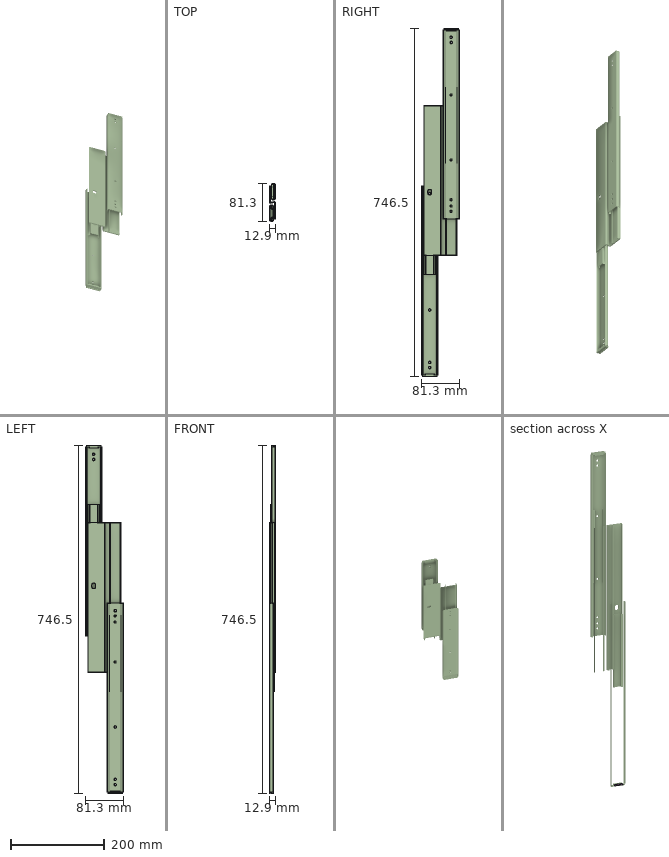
import cadquery as cq
import math


THICKNESS = 12.9
WIDTH = 81.3
LENGTH = 746.46

RAIL_WIDTH = 35.3
RAIL_DEPTH = 8.65
RAIL_SHEET = 1.2
RAIL_RACE_RADIUS = 4.6
RAIL_LENGTH = 405.0
RAIL_HOLE_DIAMETER = 4.5
RAIL_HOLES_NEAR_INNER_END = (16.0, 27.2, 40.7, 126.2, 265.5)
RAIL_HOLES_NEAR_OUTER_END = (16.0, 27.2)

BUMPER_PROTRUSION = 3.2
BUMPER_WIDTH = 31.4
BUMPER_PLUG_LENGTH = 2.5
BUMPER_PLUG_WIDTH = 20.0
BUMPER_SLOT_START = 1.8
BUMPER_SLOT_WIDTH = 2.6
BUMPER_SLOT_DEPTH = 1.7

MIDDLE_SHEET = 2.2
MIDDLE_TOP = 207.5
MIDDLE_LENGTH = 321.0
MIDDLE_CHANNEL_WIDTH = 25.0
MIDDLE_TIP_WIDTH = 22.4
MIDDLE_FLANGE_SHEET = 1.2
MIDDLE_FLANGE_DEPTH = 6.4
MIDDLE_BEND = 1.8
ACCESS_SLOT_LENGTH = 12.0
ACCESS_SLOT_WIDTH = 8.5
ACCESS_SLOT_OFFSET = 25.0

CAGE_SHEET = 0.8
CAGE_RECESS = 2.25
CAGE_WEB_WIDTH = 17.0
CAGE_ARM_DEPTH = 4.8
CAGE_ARM_SPREAD = 0.4
CAGE_WING_DEPTH = 3.4
CAGE_WIDTH = 26.0
CAGE_LENGTH = 162.0
UPPER_CAGE_TOP = 246.0
LOWER_CAGE_BOTTOM = -154.0

HALF_THICKNESS = THICKNESS / 2
RAIL_CENTER_Y = (WIDTH - RAIL_WIDTH) / 2
UPPER_RAIL_TOP = LENGTH / 2 - BUMPER_PROTRUSION
UPPER_RAIL_BOTTOM = UPPER_RAIL_TOP - RAIL_LENGTH
MIDDLE_BOTTOM = MIDDLE_TOP - MIDDLE_LENGTH
MIDDLE_CENTER_Z = (MIDDLE_TOP + MIDDLE_BOTTOM) / 2


def offset_path(points, distance):
    """The open path moved sideways to its left, with mitred corners."""
    directions = []
    for (x0, y0), (x1, y1) in zip(points, points[1:]):
        span = math.hypot(x1 - x0, y1 - y0)
        directions.append(((x1 - x0) / span, (y1 - y0) / span))
    moved = []
    for i, (x, y) in enumerate(points):
        ax, ay = directions[max(i - 1, 0)]
        bx, by = directions[min(i, len(directions) - 1)]
        reach = distance / (1 + ax * bx + ay * by)
        moved.append((x - (ay + by) * reach, y + (ax + bx) * reach))
    return moved


def bent_sheet(points, thickness, bottom, length):
    """A sheet along a path in XY, to its left for a positive thickness, extruded upward."""
    outline = points + offset_path(points, thickness)[::-1]
    return cq.Workplane("XY", origin=(0, 0, bottom)).polyline(outline).close().extrude(length)


def mirrored_path(half):
    """A path across the rail centre line, from its half on the -Y side."""
    other_half = [(x, 2 * RAIL_CENTER_Y - y) for x, y in reversed(half)]
    return half + other_half


def to_lower_side(body):
    """Turns an upper body end for end and face for face, and moves it to the lower track."""
    return body.rotate((0, 0, 0), (0, 1, 0), 180).translate((0, -2 * RAIL_CENTER_Y, 0))


def box(x0, x1, width, z0, z1):
    """A block centred on the upper rail's width."""
    plan = cq.Workplane("XY", origin=((x0 + x1) / 2, RAIL_CENTER_Y, z0))
    return plan.rect(x1 - x0, width).extrude(z1 - z0)


def make_rail_race(side):
    """The ball race on the side given by +1 or -1: an arc from the web's edge round to its lip."""
    center_x = HALF_THICKNESS - RAIL_RACE_RADIUS
    center_y = RAIL_CENTER_Y + side * (RAIL_WIDTH / 2 - RAIL_RACE_RADIUS)
    lip_angle = math.acos((HALF_THICKNESS - RAIL_DEPTH - center_x) / RAIL_RACE_RADIUS)
    inner_radius = RAIL_RACE_RADIUS - RAIL_SHEET

    def race_point(radius, angle):
        return (center_x + radius * math.cos(angle), center_y + side * radius * math.sin(angle))

    return (
        cq.Workplane("XY", origin=(0, 0, UPPER_RAIL_BOTTOM))
        .moveTo(*race_point(RAIL_RACE_RADIUS, 0))
        .threePointArc(race_point(RAIL_RACE_RADIUS, lip_angle / 2), race_point(RAIL_RACE_RADIUS, lip_angle))
        .lineTo(*race_point(inner_radius, lip_angle))
        .threePointArc(race_point(inner_radius, lip_angle / 2), race_point(inner_radius, 0))
        .close()
        .extrude(RAIL_LENGTH)
    )


def make_upper_rail():
    """A channel open toward -X: a flat web with screw holes between two ball races."""
    web_x = HALF_THICKNESS
    web_width = RAIL_WIDTH - 2 * RAIL_RACE_RADIUS
    rail = box(web_x - RAIL_SHEET, web_x, web_width, UPPER_RAIL_BOTTOM, UPPER_RAIL_TOP)
    for side in (1, -1):
        rail = rail.union(make_rail_race(side))
    heights = [UPPER_RAIL_BOTTOM + d for d in RAIL_HOLES_NEAR_INNER_END]
    heights += [UPPER_RAIL_TOP - d for d in RAIL_HOLES_NEAR_OUTER_END]
    holes = (
        cq.Workplane("YZ", origin=(web_x - RAIL_SHEET, 0, 0))
        .pushPoints([(RAIL_CENTER_Y, z) for z in heights])
        .circle(RAIL_HOLE_DIAMETER / 2)
        .extrude(RAIL_SHEET)
    )
    return rail.cut(holes).solids()


def make_upper_bumper():
    """A slotted cap over the rail's outer end, with a short plug inside the channel."""
    web_x = HALF_THICKNESS
    lip_x = web_x - RAIL_DEPTH
    top = LENGTH / 2
    cap = box(lip_x, web_x, BUMPER_WIDTH, UPPER_RAIL_TOP, top)
    plug_bottom = UPPER_RAIL_TOP - BUMPER_PLUG_LENGTH
    plug = box(lip_x, web_x - RAIL_SHEET, BUMPER_PLUG_WIDTH, plug_bottom, UPPER_RAIL_TOP)
    slot_x = web_x - BUMPER_SLOT_START
    slot = box(slot_x - BUMPER_SLOT_WIDTH, slot_x, BUMPER_WIDTH, top - BUMPER_SLOT_DEPTH, top)
    return cap.union(plug).cut(slot).solids()


def make_upper_cage(top):
    """A channel nested in the middle member, with wings spread behind its flange tips."""
    web_x = -HALF_THICKNESS + CAGE_RECESS
    arm_x = web_x + CAGE_ARM_DEPTH
    web_side = RAIL_CENTER_Y - CAGE_WEB_WIDTH / 2
    half = [
        (arm_x + CAGE_WING_DEPTH, RAIL_CENTER_Y - CAGE_WIDTH / 2),
        (arm_x, web_side - CAGE_ARM_SPREAD),
        (web_x, web_side),
    ]
    return bent_sheet(mirrored_path(half), -CAGE_SHEET, top - CAGE_LENGTH, CAGE_LENGTH)


def make_middle_flange(side):
    """A flange of the upper channel on the side given by +1 or -1, leaning inward to its tip."""
    root_x = -HALF_THICKNESS + MIDDLE_SHEET
    root_y = RAIL_CENTER_Y + side * MIDDLE_CHANNEL_WIDTH / 2
    tip_y = RAIL_CENTER_Y + side * MIDDLE_TIP_WIDTH / 2
    tip_x = -HALF_THICKNESS + MIDDLE_FLANGE_DEPTH
    inward = -side * MIDDLE_FLANGE_SHEET
    return (
        cq.Workplane("XY", origin=(0, 0, MIDDLE_BOTTOM))
        .polyline([(root_x, root_y), (tip_x, tip_y), (tip_x, tip_y + inward), (root_x, root_y + inward)])
        .close()
        .extrude(MIDDLE_LENGTH)
    )


def make_middle_half():
    """The upper web with its two flanges and an access slot."""
    outer_y = RAIL_CENTER_Y + MIDDLE_CHANNEL_WIDTH / 2
    web = (
        cq.Workplane("YZ", origin=(-HALF_THICKNESS, 0, MIDDLE_CENTER_Z))
        .center(outer_y / 2, 0)
        .rect(outer_y, MIDDLE_LENGTH)
        .extrude(MIDDLE_SHEET)
    )
    half = web.union(make_middle_flange(1)).union(make_middle_flange(-1))
    slot = (
        cq.Workplane("YZ", origin=(-HALF_THICKNESS, 0, 0))
        .center(RAIL_CENTER_Y, MIDDLE_CENTER_Z + ACCESS_SLOT_OFFSET)
        .slot2D(ACCESS_SLOT_LENGTH, ACCESS_SLOT_WIDTH, 90)
        .extrude(MIDDLE_SHEET)
    )
    return half.cut(slot)


def make_middle_member():
    """Two opposed channels joined by a wall that crosses from one web to the other."""
    upper_half = make_middle_half()
    lower_half = upper_half.mirror("YZ").rotate((0, 0, MIDDLE_CENTER_Z), (1, 0, MIDDLE_CENTER_Z), 180)
    web_x = HALF_THICKNESS
    bend_x = web_x - MIDDLE_BEND
    lower_side = [
        (-web_x, 0),
        (-bend_x, -MIDDLE_BEND),
        (bend_x - MIDDLE_SHEET, MIDDLE_BEND - MIDDLE_SHEET),
        (web_x - MIDDLE_SHEET, 0),
    ]
    upper_side = [(-x, -y) for x, y in lower_side]
    crossing = (
        cq.Workplane("XY", origin=(0, 0, MIDDLE_BOTTOM))
        .polyline(lower_side + upper_side)
        .close()
        .extrude(MIDDLE_LENGTH)
    )
    return upper_half.union(lower_half).union(crossing).solids()


upper_rail = make_upper_rail()
lower_rail = to_lower_side(upper_rail)
upper_bumper = make_upper_bumper()
lower_bumper = to_lower_side(upper_bumper)
upper_cage = make_upper_cage(UPPER_CAGE_TOP)
lower_cage = to_lower_side(make_upper_cage(-LOWER_CAGE_BOTTOM))
middle_member = make_middle_member()

result = cq.Compound.makeCompound(
    [
        upper_rail.val(),
        lower_rail.val(),
        upper_bumper.val(),
        lower_bumper.val(),
        upper_cage.val(),
        lower_cage.val(),
        middle_member.val(),
    ]
)